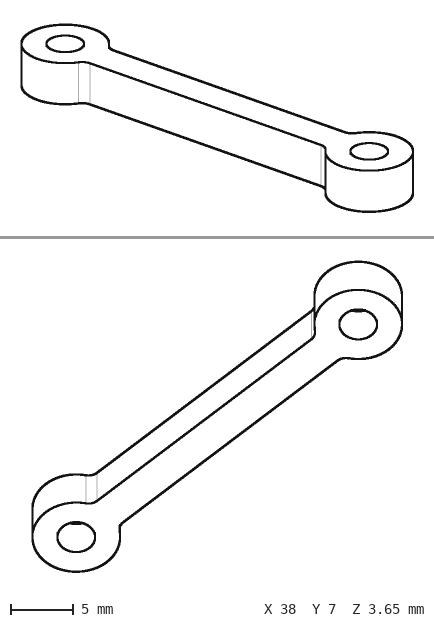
import cadquery as cq

length = 38.0
eye_diameter = 7.0
hole_diameter = 3.0
bar_width = 3.0
thickness = 3.65
neck_radius = 1.0

eye_spacing = length - eye_diameter


def neck_edges(body):
    """Vertical edges where the bar meets the two round eyes."""
    margin = 0.05
    return body.edges("|Z").edges(
        cq.selectors.BoxSelector(
            (-eye_spacing / 2 + margin, -bar_width, -thickness),
            (eye_spacing / 2 - margin, bar_width, 2 * thickness),
        )
    )


bar = cq.Workplane("XY").box(eye_spacing, bar_width, thickness, centered=(True, True, False))

eye_centres = [(-eye_spacing / 2, 0), (eye_spacing / 2, 0)]
eyes = cq.Workplane("XY").pushPoints(eye_centres).circle(eye_diameter / 2).extrude(thickness)

link = neck_edges(bar.union(eyes)).fillet(neck_radius)
holes = cq.Workplane("XY").pushPoints(eye_centres).circle(hole_diameter / 2).extrude(thickness)
result = link.cut(holes)